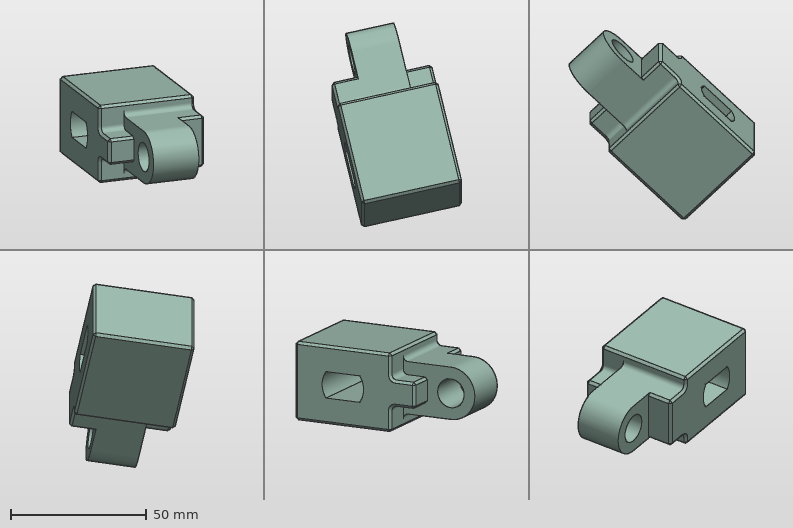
import cadquery as cq

block_length = 40.0
block_width = 38.0
block_height = 30.0
edge_chamfer = 1.0

step_length = 10.0
front_step_height = 10.0
back_step_height = 20.0
step_fillet = 2.0

lug_width = 18.0
lug_radius = back_step_height / 2
lug_pin_diameter = 11.0
lug_pin_x = 59.85

window_x = block_length / 2
window_diameter = 17.3
window_height = 10.1


def prism_along_y(sketch, y_start, y_end):
    """Extrude an XZ outline, given as a function of a workplane, between two Y positions."""
    plane = cq.Workplane("XZ", origin=(0, y_start, 0))
    return sketch(plane).extrude(y_start - y_end)


def stepped_body(step_height, y_inner, y_outer, outer_face):
    """Slice of the block with its step, chamfered on the outer face and the convex corners."""

    def outline(plane):
        block_top = block_height / 2
        step_top = step_height / 2
        step_end = block_length + step_length
        return (
            plane.moveTo(0, -block_top)
            .lineTo(block_length, -block_top)
            .lineTo(block_length, -step_top - step_fillet)
            .radiusArc((block_length + step_fillet, -step_top), step_fillet)
            .lineTo(step_end, -step_top)
            .lineTo(step_end, step_top)
            .lineTo(block_length + step_fillet, step_top)
            .radiusArc((block_length, step_top + step_fillet), step_fillet)
            .lineTo(block_length, block_top)
            .lineTo(0, block_top)
            .close()
        )

    body = prism_along_y(outline, y_inner, y_outer)
    convex_edges = f"{outer_face} or (|Y and (<X or >X or <Z or >Z))"
    return body.edges(convex_edges).chamfer(edge_chamfer)


def hinge_lug():
    """Straight lug from the right end of the block to the pin, closed by a round end."""

    def outline(plane):
        return (
            plane.moveTo(block_length, -lug_radius)
            .lineTo(lug_pin_x, -lug_radius)
            .threePointArc((lug_pin_x + lug_radius, 0), (lug_pin_x, lug_radius))
            .lineTo(block_length, lug_radius)
            .close()
        )

    return prism_along_y(outline, -lug_width / 2, lug_width / 2)


def pin_hole():
    """Cylinder for the hinge pin."""
    return prism_along_y(
        lambda plane: plane.center(lug_pin_x, 0).circle(lug_pin_diameter / 2),
        -lug_width / 2,
        lug_width / 2,
    )


def window():
    """Cylinder through the block, trimmed flat above and below."""
    cylinder = prism_along_y(
        lambda plane: plane.center(window_x, 0).circle(window_diameter / 2),
        -block_width / 2,
        block_width / 2,
    )
    flats = cq.Workplane("XY").center(window_x, 0).box(window_diameter, block_width, window_height)
    return cylinder.intersect(flats)


front_slice = stepped_body(front_step_height, -lug_width / 2, -block_width / 2, "<Y")
back_slice = stepped_body(back_step_height, -lug_width / 2, block_width / 2, ">Y")

body = front_slice.union(back_slice).union(hinge_lug()).clean()
result = body.cut(pin_hole()).cut(window())